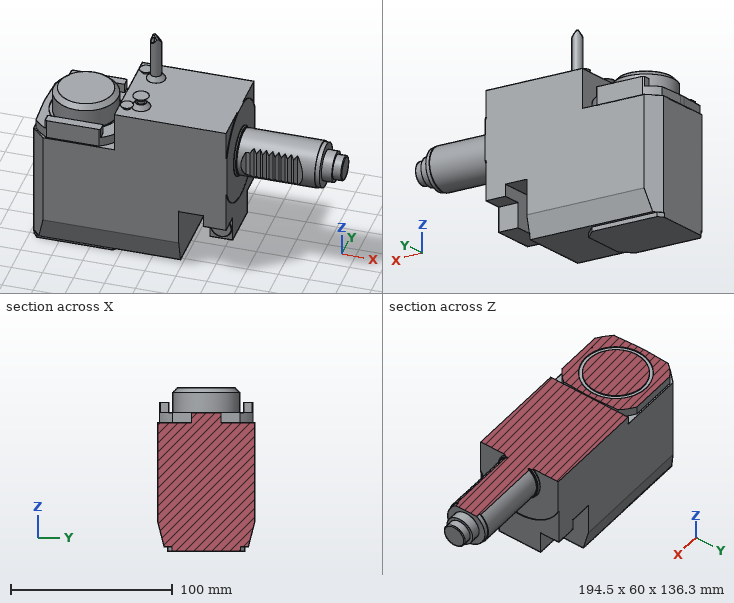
import cadquery as cq
import math

body_width = 60.0
half_width = body_width / 2
body_right = 126.6
body_base = 3.0
body_top = 105.8
deck_length = 54.7
deck_height = 79.5
main_length = 96.0
notch_top = 41.5
leg_left = 112.0
leg_bottom = 33.5
corner_chamfer_x = 8.5
corner_chamfer_y = 8.8
taper_top = 18.0
taper_inset = 3.9

block_width = 31.9
block_bottom = 17.0
screw_radius = 6.8
screw_height = 0.5
screw_chamfer = 0.4

base_length = 59.3
base_width = 47.7
base_left_chamfer = (3.0, 3.7)
base_right_chamfer = (7.8, 7.8)

spindle_x = 27.5
spindle_radius = 20.8
spindle_top = 101.1
spindle_chamfer = 3.1
plate_half_length = 27.0
plate_half_length_side = 26.0
plate_width = 57.8
plate_middle_width = 4.3
plate_top = 85.8
plate_round = 33.5
rail_length = 35.8
rail_width = 5.8
rail_top = 92.0
ring_groove_radius = 23.0
ring_groove_depth = 1.0

shank_z = 73.5
face_disc_radius = 32.9
face_disc_end = 127.2
flange_radius = 16.1
flange_end = 128.4
flange_chamfer = 0.8
undercut_radius = 14.4
undercut_end = 129.0
shank_radius = 15.0
shank_end = 179.1
collar_radius = 14.4
collar_end = 182.0
step_radius = 10.0
step_end = 188.7
tip_radius = 8.0
tip_end = 194.5
tip_chamfer = 0.5

tooth_count = 8
first_valley = 138.9
last_valley = 166.9
tooth_pitch = (last_valley - first_valley) / (tooth_count - 1)
flat_start = 134.2
flat_y = -12.5
tooth_half_pitch = tooth_pitch / 2
valley_y = flat_y + tooth_half_pitch
cut_y = -shank_radius - 1.2

fitting_x = 67.7
fitting_y = 16.1
seat_radius = 6.0
seat_height = 3.1
rod_radius = 3.5
rod_top = 136.3
rod_ridge = 1.2
rod_tip_drop = 3.9
rod_tip_angle = 35
jet_radius = 1.8
jet_depth = 3.0
neck_radius = 2.5
neck_top = 110.9
nozzle_radius = 5.0
nozzle_top = 113.5
plug_x = 60.0
plug_y = 20.5
plug_base_radius = 2.3
plug_radius = 4.0
plug_height = 2.3


def box(x0, x1, width, z0, z1):
    """Box centred on Y."""
    return cq.Workplane("XY").box(x1 - x0, width, z1 - z0, centered=(False, True, False)).translate((x0, 0, z0))


def cylinder(x, y, z0, z1, radius):
    return cq.Workplane("XY", origin=(x, y, z0)).circle(radius).extrude(z1 - z0)


def cone(x, y, z0, z1, bottom_radius, top_radius):
    solid = cq.Solid.makeCone(bottom_radius, top_radius, z1 - z0, cq.Vector(x, y, z0))
    return cq.Workplane(obj=solid)


def make_housing():
    side_profile = [
        (0, body_base),
        (main_length, body_base),
        (main_length, notch_top),
        (leg_left, notch_top),
        (leg_left, leg_bottom),
        (body_right, leg_bottom),
        (body_right, body_top),
        (deck_length, body_top),
        (deck_length, deck_height),
        (0, deck_height),
    ]
    housing = cq.Workplane("XZ").polyline(side_profile).close().extrude(half_width, both=True)

    plan = [
        (0, half_width - corner_chamfer_y),
        (corner_chamfer_x, half_width),
        (body_right, half_width),
        (body_right, -half_width),
        (corner_chamfer_x, -half_width),
        (0, -half_width + corner_chamfer_y),
    ]
    housing = housing.intersect(cq.Workplane("XY").polyline(plan).close().extrude(body_top))

    end_profile = [
        (half_width - taper_inset, body_base),
        (half_width, taper_top),
        (half_width, body_top),
        (-half_width, body_top),
        (-half_width, taper_top),
        (-half_width + taper_inset, body_base),
    ]
    return housing.intersect(cq.Workplane("YZ").polyline(end_profile).close().extrude(body_right))


def make_leg_block():
    block = box(leg_left, body_right, block_width, block_bottom, leg_bottom)
    screw_x = (leg_left + body_right) / 2
    screw_z = (block_bottom + leg_bottom) / 2
    screw = (
        cq.Workplane("XZ", origin=(screw_x, -block_width / 2, screw_z))
        .circle(screw_radius)
        .extrude(screw_height)
        .faces("<Y")
        .chamfer(screw_chamfer)
    )
    return block.union(screw)


def make_base_plate():
    half = base_width / 2
    left_x, left_y = base_left_chamfer
    right_x, right_y = base_right_chamfer
    outline = [
        (0, half - left_y),
        (left_x, half),
        (base_length - right_x, half),
        (base_length, half - right_y),
        (base_length, -half + right_y),
        (base_length - right_x, -half),
        (left_x, -half),
        (0, -half + left_y),
    ]
    return cq.Workplane("XY").polyline(outline).close().extrude(body_base)


def make_clamping_plate():
    half = plate_width / 2
    middle = plate_middle_width / 2
    shoulder = math.sqrt(plate_round**2 - plate_half_length_side**2)
    quarter = [
        (plate_half_length, middle),
        (plate_half_length_side, shoulder),
        (plate_half_length_side, half),
    ]
    upper = quarter + [(-x, y) for x, y in reversed(quarter)]
    outline = upper + [(-x, -y) for x, y in upper]
    plate = (
        cq.Workplane("XY", origin=(spindle_x, 0, deck_height))
        .polyline(outline)
        .close()
        .extrude(plate_top - deck_height)
    )
    plate = plate.cut(cylinder(spindle_x, 0, plate_top - ring_groove_depth, plate_top, ring_groove_radius))

    rail_start = spindle_x - rail_length / 2
    rail = box(rail_start, rail_start + rail_length, rail_width, deck_height, rail_top)
    for side in (-1, 1):
        plate = plate.union(rail.translate((0, side * (half - rail_width / 2), 0)))
    return plate.intersect(cylinder(spindle_x, 0, deck_height, rail_top, plate_round))


def make_spindle():
    spindle = cylinder(spindle_x, 0, deck_height, spindle_top, spindle_radius)
    return spindle.faces(">Z").chamfer(spindle_chamfer)


def make_face_disc():
    disc = shank_section(body_right, face_disc_end, face_disc_radius)
    return disc.intersect(box(body_right, face_disc_end, body_width, 0, body_top))


def make_serration_cut():
    outline = [
        (flat_start - (flat_y - cut_y), cut_y),
        (flat_start, flat_y),
    ]
    for i in range(tooth_count):
        valley = first_valley + i * tooth_pitch
        outline.append((valley - tooth_half_pitch, flat_y))
        outline.append((valley, valley_y))
    outline.append((last_valley + valley_y - cut_y, cut_y))
    cutter = cq.Workplane("XY", origin=(0, 0, shank_z)).polyline(outline).close()
    return cutter.extrude(shank_radius, both=True)


def shank_section(start, end, radius):
    return cq.Workplane("YZ", origin=(start, 0, shank_z)).circle(radius).extrude(end - start)


def make_shank():
    steps = [
        (undercut_end, undercut_radius),
        (shank_end, shank_radius),
        (collar_end, collar_radius),
        (step_end, step_radius),
        (tip_end, tip_radius),
    ]
    flange = shank_section(body_right, flange_end, flange_radius)
    shank = flange.faces(">X").chamfer(flange_chamfer)
    start = flange_end
    for end, radius in steps:
        shank = shank.union(shank_section(start, end, radius))
        start = end
    shank = shank.faces(">X").chamfer(tip_chamfer)
    return shank.cut(make_serration_cut())


def make_rod():
    """Rod with a wedge-shaped tip and a jet hole drilled square to its front slope."""
    rod = cylinder(0, 0, body_top, rod_top, rod_radius)
    ridge = rod_ridge / 2
    shoulder = rod_top - rod_tip_drop
    wedge = [
        (-rod_radius, body_top),
        (rod_radius, body_top),
        (rod_radius, shoulder),
        (ridge, rod_top),
        (-ridge, rod_top),
        (-rod_radius, shoulder),
    ]
    rod = rod.intersect(cq.Workplane("XZ").polyline(wedge).close().extrude(rod_radius, both=True))

    slope_run = rod_radius - ridge
    slope_centre = cq.Vector(-(rod_radius + ridge) / 2, 0, (rod_top + shoulder) / 2)
    inward = cq.Vector(rod_tip_drop, 0, -slope_run).normalized()
    drill_start = slope_centre - inward * jet_depth
    jet = cq.Solid.makeCylinder(jet_radius, 2 * jet_depth, drill_start, inward)
    rod = rod.cut(cq.Workplane(obj=jet))
    return rod.rotate((0, 0, 0), (0, 0, 1), rod_tip_angle).translate((fitting_x, fitting_y, 0))


def make_nozzle():
    neck = cylinder(fitting_x, -fitting_y, body_top, neck_top, neck_radius)
    return neck.union(cone(fitting_x, -fitting_y, neck_top, nozzle_top, neck_radius, nozzle_radius))


def make_seats_and_plugs():
    parts = []
    for side in (-1, 1):
        seat_top = body_top + seat_height
        parts.append(cone(fitting_x, side * fitting_y, body_top, seat_top, seat_radius, rod_radius))
        plug_top = body_top + plug_height
        parts.append(cone(plug_x, side * plug_y, body_top, plug_top, plug_base_radius, plug_radius))
    return parts


result = make_housing()
features = [
    make_leg_block(),
    make_base_plate(),
    make_clamping_plate(),
    make_spindle(),
    make_face_disc(),
    make_shank(),
    make_rod(),
    make_nozzle(),
]
for feature in features + make_seats_and_plugs():
    result = result.union(feature)